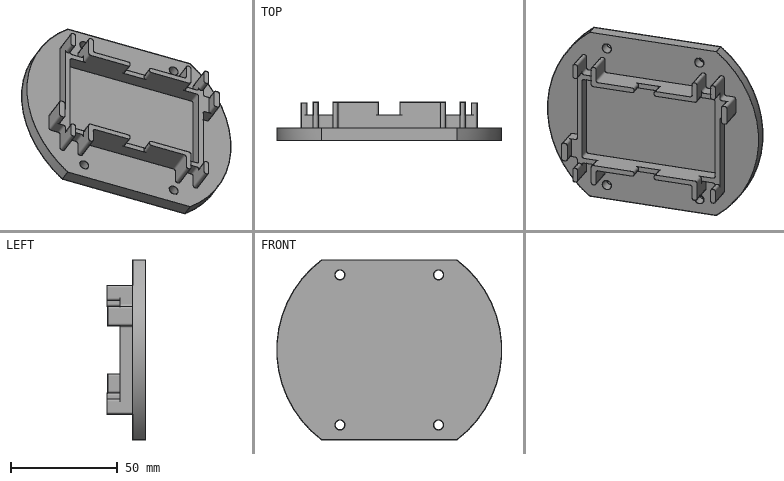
import cadquery as cq

plate_diameter = 105.0
plate_height = 84.0
plate_thickness = 6.0
hole_diameter = 4.5
hole_half_spacing_x = 23.0
hole_half_spacing_z = 35.0

ledge_top = 12.0
wall_top = 18.0
tab_top = 17.7

wall_thickness = 2.4
corner_radius = 1.1
side_rail_outer_x = 35.45
rail_half_length = 30.1
board_half_height = 20.2
post_inner_z = 23.0
inner_rib_outer_x = 26.3
gap_half_width = 4.95

tab_outer_x = 41.15
tab_wall_thickness = 2.85
tab_bottom_z = 11.2

side_rail_inner_x = side_rail_outer_x - wall_thickness
inner_rib_inner_x = inner_rib_outer_x - wall_thickness
board_wall_outer_z = board_half_height + wall_thickness


def block(x_limits, z_limits, y_end):
    """Box from the back of the plate to y_end, between the given limits in either order."""
    x_start, x_stop = sorted(x_limits)
    z_start, z_stop = sorted(z_limits)
    return cq.Workplane("XY").box(
        x_stop - x_start, y_end - plate_thickness, z_stop - z_start, centered=False
    ).translate((x_start, plate_thickness, z_start))


def round_corners(body):
    """Round every convex and concave corner that runs along Y."""
    return body.edges("|Y").fillet(corner_radius)


def make_plate():
    disc = cq.Workplane("XZ").circle(plate_diameter / 2).extrude(-plate_thickness)
    flats = cq.Workplane("XY").box(plate_diameter, 2 * plate_thickness, plate_height)
    holes = (
        cq.Workplane("XZ")
        .rect(2 * hole_half_spacing_x, 2 * hole_half_spacing_z, forConstruction=True)
        .vertices()
        .circle(hole_diameter / 2)
        .extrude(-plate_thickness)
    )
    return disc.intersect(flats).cut(holes)


def inner_rib(x_side, z_side, y_end):
    """Short rib standing outward from a board wall."""
    return block(
        (x_side * inner_rib_inner_x, x_side * inner_rib_outer_x),
        (z_side * board_half_height, z_side * rail_half_length),
        y_end,
    )


def make_ledge():
    """Low frame under the board: side rails, board walls, inner ribs and tab feet."""
    ledge = cq.Workplane("XY")
    for side in (-1, 1):
        side_rail = block(
            (side * side_rail_inner_x, side * side_rail_outer_x),
            (-rail_half_length, rail_half_length),
            ledge_top,
        )
        board_wall = block(
            (-side_rail_outer_x, side_rail_outer_x),
            (side * board_half_height, side * board_wall_outer_z),
            ledge_top,
        )
        tab_foot = block(
            (side * side_rail_inner_x, side * tab_outer_x),
            (-side * tab_bottom_z, -side * board_half_height),
            ledge_top,
        )
        ledge = ledge.union(side_rail).union(board_wall).union(tab_foot)
        for z_side in (-1, 1):
            ledge = ledge.union(inner_rib(side, z_side, ledge_top))
    return round_corners(ledge.clean())


def make_corner_post(x_side, z_side):
    """Full height outer end of a side rail."""
    return round_corners(
        block(
            (x_side * side_rail_inner_x, x_side * side_rail_outer_x),
            (z_side * post_inner_z, z_side * rail_half_length),
            wall_top,
        )
    )


def make_board_stop(x_side, z_side):
    """Full height L-shaped wall: an inner rib with its board wall up to the middle gap."""
    wall = block(
        (x_side * gap_half_width, x_side * inner_rib_outer_x),
        (z_side * board_half_height, z_side * board_wall_outer_z),
        wall_top,
    )
    return round_corners(wall.union(inner_rib(x_side, z_side, wall_top)).clean())


def make_tab_wall(x_side):
    """Tall wall at the outer end of a tab foot."""
    return round_corners(
        block(
            (x_side * (tab_outer_x - tab_wall_thickness), x_side * tab_outer_x),
            (-x_side * tab_bottom_z, -x_side * board_half_height),
            tab_top,
        )
    )


result = make_plate().union(make_ledge())
for x_side in (-1, 1):
    result = result.union(make_tab_wall(x_side))
    for z_side in (-1, 1):
        result = result.union(make_corner_post(x_side, z_side))
        result = result.union(make_board_stop(x_side, z_side))